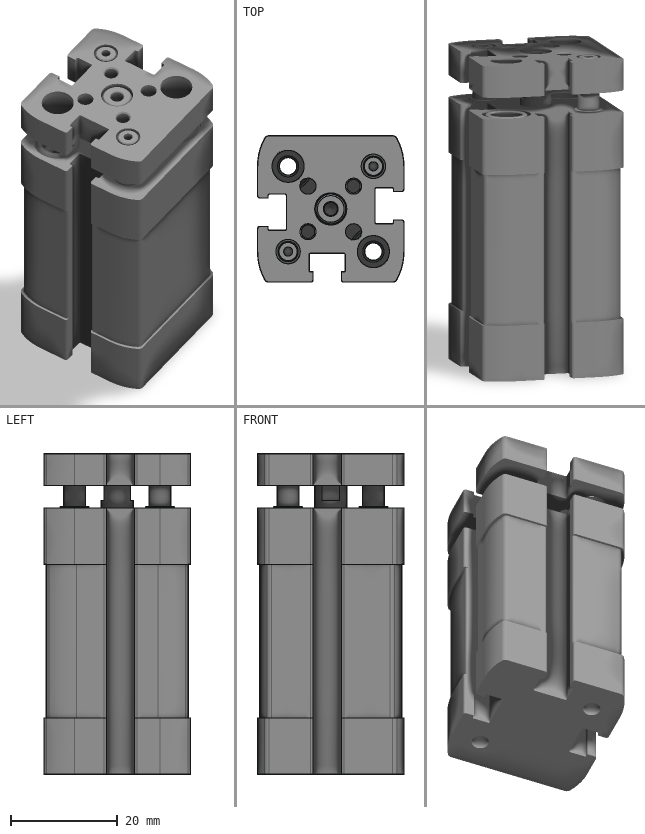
import cadquery as cq
import math


WIDTH = 27.5
HEIGHT = 60.2
HOUSING_HEIGHT = 50.0
CAP_HEIGHT = 10.6
PLATE_THICKNESS = 6.0
BARREL_INSET = 0.4

FLANK_RADIUS = 10.85
FLANK_REACH = 5.7
CORNER_RADIUS = 0.95

SIDE_SLOT_OFFSET = 0.6
FRONT_SLOT_OFFSET = 0.65
SLOT_MOUTH = 5.3
SLOT_WIDTH = 6.75
SLOT_DEPTH = 5.4
SLOT_CORNER_RADIUS = 0.25
LIP_DEPTH = 2.0
LIP_RADIUS = 0.5

ROD_DIAMETER = 6.0
ROD_INSERTION = 3.0
ROD_FLATS = 5.0
FLATS_HEIGHT = 2.75
ROD_SEAT_DEPTH = 1.2
ROD_TIP_DIAMETER = 5.6
ROD_TIP_RECESS = 0.35
ROD_TIP_CHAMFER = 0.3
ROD_BORE = 2.45
ROD_BORE_MOUTH = 2.75
ROD_BORE_DEPTH = 7.2
DRILL_POINT_ANGLE = 118.0

CORNER_OFFSET = 8.0
GUIDE_DIAMETER = 4.15
GUIDE_INSERTION = 3.0
GUIDE_SEAT = 4.6
GUIDE_SEAT_DEPTH = 0.6
GUIDE_TIP_DIAMETER = 3.8
GUIDE_TIP_CHAMFER = 0.2
CENTRE_HOLE = 1.7
CENTRE_HOLE_DEPTH = 1.8
COLLAR_DIAMETER = 5.5
COLLAR_HEIGHT = 0.25
COLLAR_CHAMFER = 0.1

GROOVE_DIAMETER = 9.2
GROOVE_DEPTH = 0.5
LAND_DIAMETER = 8.5
SEAT_MOUTH = 6.4
COUNTERBORE = 6.0
COUNTERBORE_DEPTH = 3.55
MOUNT_HOLE = 3.25
MOUNT_HOLE_MOUTH = 4.0

ACCESS_HOLE = 6.0
SMALL_OFFSET = 4.3
SMALL_HOLE = 3.0
TAPPED_HOLE = 2.5

HALF = WIDTH / 2
PLATE_BOTTOM = HEIGHT - PLATE_THICKNESS
ROD_BOTTOM = HOUSING_HEIGHT - ROD_INSERTION
GUIDE_BOTTOM = HOUSING_HEIGHT - GUIDE_INSERTION


def rising_diagonal(offset):
    return [(offset, offset), (-offset, -offset)]


def falling_diagonal(offset):
    return [(-offset, offset), (offset, -offset)]


AXIS = [(0, 0)]
GUIDES = rising_diagonal(CORNER_OFFSET)
SEATS = falling_diagonal(CORNER_OFFSET)
TAPPED_HOLES = rising_diagonal(SMALL_OFFSET)
PLAIN_HOLES = falling_diagonal(SMALL_OFFSET)


def cylinders(points, diameter, bottom, top):
    """Vertical cylinders between two heights."""
    plane = cq.Workplane("XY", origin=(0, 0, bottom))
    return plane.pushPoints(points).circle(diameter / 2).extrude(top - bottom)


def cones(points, bottom_diameter, top_diameter, top, height):
    """Vertical cones that end at the given top height."""
    cone = cq.Solid.makeCone(bottom_diameter / 2, top_diameter / 2, height)
    plane = cq.Workplane("XY", origin=(0, 0, top - height))
    return plane.pushPoints(points).eachpoint(cone)


def countersinks(points, hole, mouth, top):
    """45 degree cones that widen a hole to its mouth at the given height."""
    return cones(points, hole, mouth, top, (mouth - hole) / 2)


def rounded_block(half, bottom, top):
    """Block with flat front and back and arc-shaped flanks."""

    def flank_x(rise):
        return half - FLANK_RADIUS + math.sqrt(FLANK_RADIUS**2 - rise**2)

    start_y = half - FLANK_REACH
    mid_x, mid_y = flank_x(FLANK_REACH / 2), half - FLANK_REACH / 2
    end_x = flank_x(FLANK_REACH)
    return (
        cq.Workplane("XY", origin=(0, 0, bottom))
        .moveTo(half, -start_y)
        .lineTo(half, start_y)
        .threePointArc((mid_x, mid_y), (end_x, half))
        .lineTo(-end_x, half)
        .threePointArc((-mid_x, mid_y), (-half, start_y))
        .lineTo(-half, -start_y)
        .threePointArc((-mid_x, -mid_y), (-end_x, -half))
        .lineTo(end_x, -half)
        .threePointArc((mid_x, -mid_y), (half, -start_y))
        .close()
        .extrude(top - bottom)
        .edges("|Z")
        .edges(">Y or <Y")
        .fillet(CORNER_RADIUS)
    )


def t_slot(half, angle, offset):
    """Full-height T-slot cutter for the +X side, shifted along Y and then turned about Z."""
    floor_x = HALF - SLOT_DEPTH
    lip_x = HALF - LIP_DEPTH
    channel = (
        cq.Workplane("XY")
        .center((floor_x + lip_x) / 2, 0)
        .rect(lip_x - floor_x, SLOT_WIDTH)
        .extrude(HEIGHT)
        .edges("|Z")
        .fillet(SLOT_CORNER_RADIUS)
    )
    edge_y = SLOT_MOUTH / 2
    mouth = (
        cq.Workplane("XY")
        .moveTo(floor_x, -edge_y)
        .lineTo(half - LIP_RADIUS, -edge_y)
        .radiusArc((half, -edge_y - LIP_RADIUS), LIP_RADIUS)
        .lineTo(half, edge_y + LIP_RADIUS)
        .radiusArc((half - LIP_RADIUS, edge_y), LIP_RADIUS)
        .lineTo(floor_x, edge_y)
        .close()
        .extrude(HEIGHT)
    )
    return channel.union(mouth).translate((0, offset, 0)).rotate((0, 0, 0), (0, 0, 1), angle)


def slotted_block(half, bottom, top):
    """Block with T-slots in its +X, -X and -Y sides."""
    block = rounded_block(half, bottom, top)
    for angle, offset in ((0, SIDE_SLOT_OFFSET), (180, SIDE_SLOT_OFFSET), (270, -FRONT_SLOT_OFFSET)):
        block = block.cut(t_slot(half, angle, offset))
    return block


def end_plate():
    plate = slotted_block(HALF, PLATE_BOTTOM, HEIGHT)
    plate = plate.cut(cylinders(SEATS, ACCESS_HOLE, PLATE_BOTTOM, HEIGHT))
    plate = plate.cut(cylinders(PLAIN_HOLES, SMALL_HOLE, PLATE_BOTTOM, HEIGHT))
    plate = plate.cut(cylinders(TAPPED_HOLES, TAPPED_HOLE, PLATE_BOTTOM, HEIGHT))
    plate = plate.cut(countersinks(TAPPED_HOLES, TAPPED_HOLE, SMALL_HOLE, HEIGHT))
    plate = plate.cut(cylinders(AXIS, ROD_DIAMETER, HEIGHT - ROD_SEAT_DEPTH, HEIGHT))
    plate = plate.cut(cylinders(GUIDES, GUIDE_SEAT, HEIGHT - GUIDE_SEAT_DEPTH, HEIGHT))
    return plate


def piston_rod():
    """Rod below the plate, with a flat on its front and back just under the plate."""
    rod = cylinders(AXIS, ROD_DIAMETER, ROD_BOTTOM, PLATE_BOTTOM)
    for side in (-1, 1):
        flat = cq.Workplane("XY").box(ROD_DIAMETER, ROD_DIAMETER, FLATS_HEIGHT)
        flat_y = side * (ROD_FLATS + ROD_DIAMETER) / 2
        rod = rod.cut(flat.translate((0, flat_y, PLATE_BOTTOM - FLATS_HEIGHT / 2)))
    return rod


def rod_bore(top):
    """Drilled hole with a countersunk mouth and a conical end."""
    bottom = top - ROD_BORE_DEPTH
    point_height = ROD_BORE / 2 / math.tan(math.radians(DRILL_POINT_ANGLE / 2))
    bore = cylinders(AXIS, ROD_BORE, bottom, top)
    bore = bore.union(cones(AXIS, 0, ROD_BORE, bottom, point_height))
    return bore.union(countersinks(AXIS, ROD_BORE, ROD_BORE_MOUTH, top))


def make_carriage():
    """End plate with its piston rod and guide rods."""
    carriage = end_plate()

    tip_top = HEIGHT - ROD_TIP_RECESS
    rod_tip = cylinders(AXIS, ROD_TIP_DIAMETER, HEIGHT - ROD_SEAT_DEPTH, tip_top)
    carriage = carriage.union(piston_rod())
    carriage = carriage.union(rod_tip.faces(">Z").chamfer(ROD_TIP_CHAMFER))
    carriage = carriage.cut(rod_bore(tip_top))

    guide_tips = cylinders(GUIDES, GUIDE_TIP_DIAMETER, HEIGHT - GUIDE_SEAT_DEPTH, HEIGHT)
    carriage = carriage.union(cylinders(GUIDES, GUIDE_DIAMETER, GUIDE_BOTTOM, PLATE_BOTTOM))
    carriage = carriage.union(guide_tips.faces(">Z").chamfer(GUIDE_TIP_CHAMFER))
    return carriage.cut(cylinders(GUIDES, CENTRE_HOLE, HEIGHT - CENTRE_HOLE_DEPTH, HEIGHT))


def mounting_seats():
    """Cutter for the ring grooves, counterbores and through holes of the seats."""
    land_top = LAND_DIAMETER - 2 * GROOVE_DEPTH
    groove = cylinders(SEATS, GROOVE_DIAMETER, HOUSING_HEIGHT - GROOVE_DEPTH, HOUSING_HEIGHT)
    groove = groove.cut(cones(SEATS, LAND_DIAMETER, land_top, HOUSING_HEIGHT, GROOVE_DEPTH))
    floor = HOUSING_HEIGHT - COUNTERBORE_DEPTH
    hole = cylinders(SEATS, COUNTERBORE, floor, HOUSING_HEIGHT)
    hole = hole.union(countersinks(SEATS, COUNTERBORE, SEAT_MOUTH, HOUSING_HEIGHT))
    hole = hole.union(cylinders(SEATS, MOUNT_HOLE, 0, floor))
    hole = hole.union(countersinks(SEATS, MOUNT_HOLE, MOUNT_HOLE_MOUTH, floor))
    return groove.union(hole)


def make_housing():
    """Barrel between two larger end caps."""
    upper_cap_bottom = HOUSING_HEIGHT - CAP_HEIGHT
    housing = slotted_block(HALF, 0, CAP_HEIGHT)
    housing = housing.union(slotted_block(HALF - BARREL_INSET, CAP_HEIGHT, upper_cap_bottom))
    housing = housing.union(slotted_block(HALF, upper_cap_bottom, HOUSING_HEIGHT))

    collar_top = HOUSING_HEIGHT + COLLAR_HEIGHT
    collars = cylinders(GUIDES, COLLAR_DIAMETER, HOUSING_HEIGHT, collar_top)
    housing = housing.union(collars.faces(">Z").chamfer(COLLAR_CHAMFER))
    housing = housing.cut(cylinders(GUIDES, GUIDE_DIAMETER, GUIDE_BOTTOM, collar_top))
    housing = housing.cut(cylinders(AXIS, ROD_DIAMETER, ROD_BOTTOM, HOUSING_HEIGHT))

    return housing.cut(mounting_seats())


housing = make_housing()
carriage = make_carriage()
result = cq.Compound.makeCompound([housing.solids().val(), carriage.solids().val()])